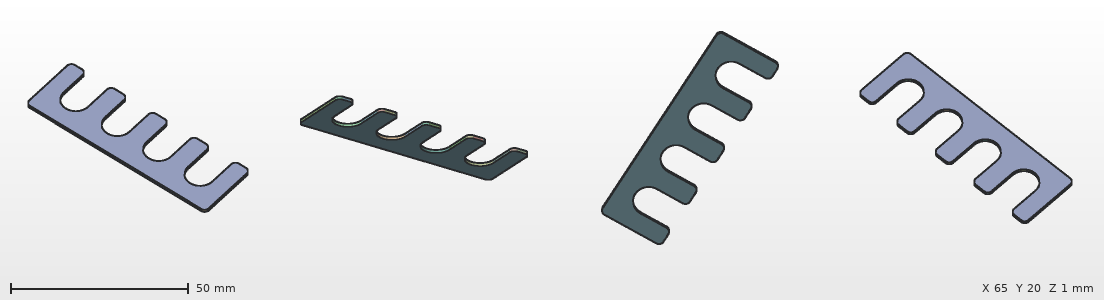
import cadquery as cq

length = 65.0
width = 20.0
thickness = 1.0
corner_radius = 1.5

slot_count = 4
slot_pitch = 15.0
slot_width = 8.8
slot_centre_height = width / 2
slot_radius = slot_width / 2


def make_plate():
    """Flat rectangular plate with one corner at the origin."""
    return cq.Workplane("XY").box(length, width, thickness, centered=False)


def make_slot(centre_x):
    """Cutter for one slot, with a round end and open at the +Y edge."""
    return (
        cq.Workplane("XY")
        .moveTo(centre_x - slot_radius, width)
        .lineTo(centre_x - slot_radius, slot_centre_height)
        .threePointArc(
            (centre_x, slot_centre_height - slot_radius),
            (centre_x + slot_radius, slot_centre_height),
        )
        .lineTo(centre_x + slot_radius, width)
        .close()
        .extrude(thickness)
    )


def round_corners(body):
    """Round the outer corners of the plate and the tips of the fingers."""
    tip_edges = body.faces(">Y").edges("|Z")
    base_edges = body.faces("<Y").edges("|Z")
    return body.newObject(tip_edges.vals() + base_edges.vals()).fillet(corner_radius)


comb = make_plate()
first_slot_x = (length - (slot_count - 1) * slot_pitch) / 2
for index in range(slot_count):
    comb = comb.cut(make_slot(first_slot_x + index * slot_pitch))

result = round_corners(comb)